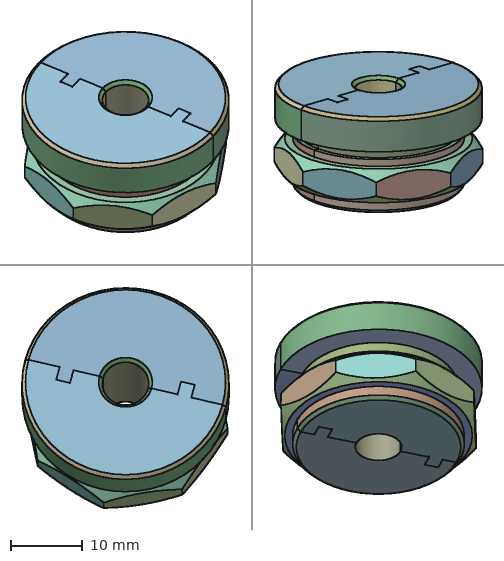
import cadquery as cq
import math


total_height = 15.0
head_bottom = 10.0
neck_bottom = 8.0
nut_bottom = 2.0
nut_height = 5.0

head_radius = 14.5
neck_radius = 11.25
sleeve_radius = 12.0
bore_radius = 3.25
edge_chamfer = 0.5

key_offset = 8.5
key_size = 2.0

nut_sides = 8
nut_turn = 2.0
nut_half_width = 14.6
nut_corner_radius = nut_half_width / math.cos(math.radians(nut_turn))
nut_chamfer = 1.5
nut_face_radius = nut_corner_radius - nut_chamfer


def make_grommet_blank():
    """Whole turned grommet, before it is split."""
    profile = [
        (bore_radius, 0),
        (sleeve_radius - edge_chamfer, 0),
        (sleeve_radius, edge_chamfer),
        (sleeve_radius, neck_bottom),
        (neck_radius, neck_bottom),
        (neck_radius, head_bottom),
        (head_radius, head_bottom),
        (head_radius, total_height - edge_chamfer),
        (head_radius - edge_chamfer, total_height),
        (bore_radius + edge_chamfer, total_height),
        (bore_radius, total_height - edge_chamfer),
    ]
    return cq.Workplane("XZ").polyline(profile).close().revolve(360, (0, 0), (0, 1))


def make_grommet_half(turn):
    """Half of the grommet, with a tongue on one side of the bore and a slot on the other."""
    key_inner = key_offset - key_size / 2
    key_outer = key_offset + key_size / 2
    half_outline = [
        (-head_radius, 0),
        (-key_outer, 0),
        (-key_outer, -key_size),
        (-key_inner, -key_size),
        (-key_inner, 0),
        (key_inner, 0),
        (key_inner, key_size),
        (key_outer, key_size),
        (key_outer, 0),
        (head_radius, 0),
        (head_radius, head_radius),
        (-head_radius, head_radius),
    ]
    half_space = cq.Workplane("XY").polyline(half_outline).close().extrude(total_height)
    half = make_grommet_blank().intersect(half_space)
    return half.rotate((0, 0, 0), (0, 0, 1), turn)


def make_nut():
    """Octagonal nut with conical chamfers on both faces and a bore that fits the sleeve."""
    prism = cq.Workplane("XY").polygon(nut_sides, 2 * nut_corner_radius).extrude(nut_height)
    cone_profile = [
        (sleeve_radius, 0),
        (nut_face_radius, 0),
        (nut_corner_radius, nut_chamfer),
        (nut_corner_radius, nut_height - nut_chamfer),
        (nut_face_radius, nut_height),
        (sleeve_radius, nut_height),
    ]
    chamfered_ring = cq.Workplane("XZ").polyline(cone_profile).close().revolve(360, (0, 0), (0, 1))
    nut = prism.intersect(chamfered_ring)
    return nut.rotate((0, 0, 0), (0, 0, 1), nut_turn).translate((0, 0, nut_bottom))


grommet_halves = [make_grommet_half(turn) for turn in (0, 180)]
nut = make_nut()

result = cq.Compound.makeCompound([*(half.solids().val() for half in grommet_halves), nut.solids().val()])